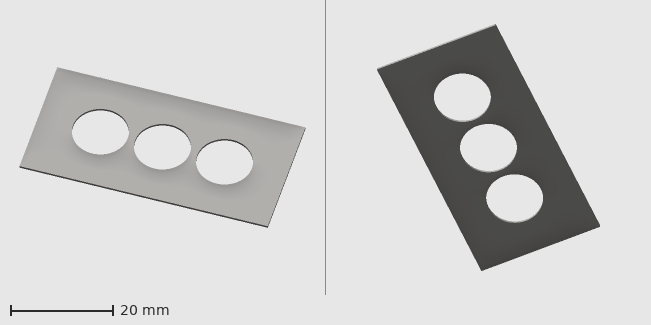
import cadquery as cq

plate_length = 50.8
plate_width = plate_length / 2
plate_thickness = 0.5

hole_count = 3
hole_diameter = 11.2
hole_pitch = plate_length / 4

plate = cq.Workplane("XY").box(plate_length, plate_width, plate_thickness)

result = (
    plate.faces(">Z")
    .workplane()
    .rarray(hole_pitch, 0.5, hole_count, 1)
    .hole(hole_diameter)
)